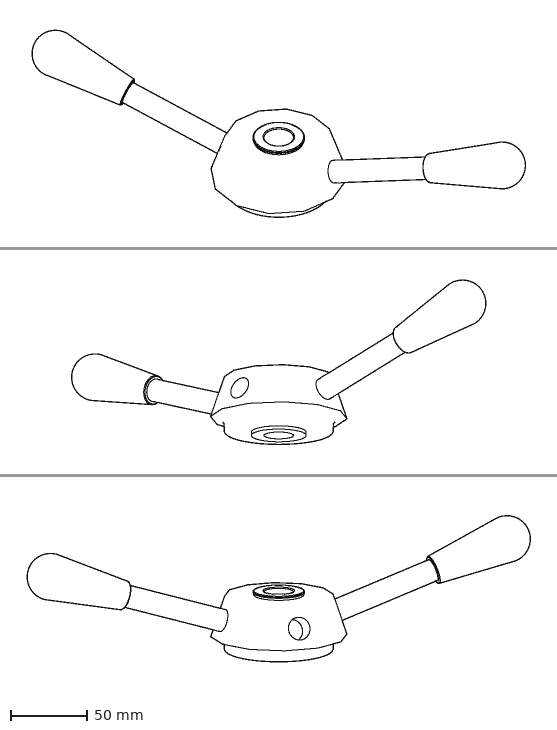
import cadquery as cq
import math

FOOT_TOP = 2.2
SKIRT_BOTTOM = 12.0
HUB_TOP = 39.5
COLLAR_BAND_BOTTOM = 41.0
COLLAR_TOP = 42.2

FOOT_DIAMETER = 36.0
BASE_DIAMETER = 72.0
BASE_EDGE_ROUND = 1.2
COVE_RADIUS = 5.0
COLLAR_DIAMETER = 34.0
COLLAR_CHAMFER = 0.6
COLLAR_NECK_DIAMETER = 33.0
BORE_DIAMETER = 19.29
BORE_CHAMFER = 0.7
SIDES = 12
HUB_EDGE_ROUND = 0.7
SKIRT_WIDTH = 87.02
FACE_TILT = 18.0

ROD_DIAMETER = 15.0
ARM_FACE_HEIGHT = 25.12
EMBED_DEPTH = 12.0
SOCKET_DEPTH = 15.0

OVERALL_LENGTH = 350.5
GRIP_LENGTH = 54.5
GRIP_NECK_DIAMETER = 19.5
GRIP_NECK_CHAMFER = 0.6
BALL_RADIUS = 15.5

TILT = math.radians(FACE_TILT)
FACE_RADIUS = SKIRT_WIDTH / 2 - (ARM_FACE_HEIGHT - SKIRT_BOTTOM) * math.tan(TILT)
BALL_REACH = (OVERALL_LENGTH / 2 - BALL_RADIUS - FACE_RADIUS) / math.cos(TILT)


def faceted_hub():
    """Tapered twelve-sided body with flat faces square to X and Y and rounded upper and side edges."""
    circumscribed_diameter = SKIRT_WIDTH / math.cos(math.pi / SIDES)
    return (
        cq.Workplane("XY", origin=(0, 0, SKIRT_BOTTOM))
        .transformed(rotate=(0, 0, 180 / SIDES))
        .polygon(SIDES, circumscribed_diameter)
        .extrude(HUB_TOP - SKIRT_BOTTOM, taper=FACE_TILT)
        .edges("not <Z")
        .fillet(HUB_EDGE_ROUND)
    )


def turned_base():
    """Round foot and base disc with a rounded lower edge and a cove up to the skirt."""
    foot_radius = FOOT_DIAMETER / 2
    base_radius = BASE_DIAMETER / 2
    cove_bottom = SKIRT_BOTTOM - COVE_RADIUS
    cove_mid = COVE_RADIUS * (1 - math.sqrt(0.5))
    edge_mid = BASE_EDGE_ROUND * (1 - math.sqrt(0.5))
    return (
        cq.Workplane("XZ")
        .moveTo(0, 0)
        .lineTo(foot_radius, 0)
        .lineTo(foot_radius, FOOT_TOP)
        .lineTo(base_radius - BASE_EDGE_ROUND, FOOT_TOP)
        .threePointArc(
            (base_radius - edge_mid, FOOT_TOP + edge_mid),
            (base_radius, FOOT_TOP + BASE_EDGE_ROUND),
        )
        .lineTo(base_radius, cove_bottom)
        .threePointArc(
            (base_radius + cove_mid, SKIRT_BOTTOM - cove_mid),
            (base_radius + COVE_RADIUS, SKIRT_BOTTOM),
        )
        .lineTo(0, SKIRT_BOTTOM)
        .close()
        .revolve(360, (0, 0, 0), (0, 1, 0))
    )


def collar():
    """Raised ring on top of the hub: a narrow neck under a wider band with a chamfered rim."""
    neck = (
        cq.Workplane("XY", origin=(0, 0, HUB_TOP))
        .circle(COLLAR_NECK_DIAMETER / 2)
        .extrude(COLLAR_BAND_BOTTOM - HUB_TOP)
    )
    band = (
        cq.Workplane("XY", origin=(0, 0, COLLAR_BAND_BOTTOM))
        .circle(COLLAR_DIAMETER / 2)
        .extrude(COLLAR_TOP - COLLAR_BAND_BOTTOM)
        .faces(">Z")
        .chamfer(COLLAR_CHAMFER)
    )
    return neck.union(band)


def place_on_face(shape, azimuth):
    """Move a shape built along +X from the origin onto the hub face at the given azimuth."""
    return (
        shape.rotate((0, 0, 0), (0, 1, 0), -FACE_TILT)
        .translate((FACE_RADIUS, 0, ARM_FACE_HEIGHT))
        .rotate((0, 0, 0), (0, 0, 1), azimuth)
    )


def arm():
    """Rod, tapered grip and domed end, turned about +X with the hub face at the origin."""
    rod_radius = ROD_DIAMETER / 2
    neck_radius = GRIP_NECK_DIAMETER / 2
    grip_start = BALL_REACH - GRIP_LENGTH
    dome_mid = BALL_RADIUS * math.sqrt(0.5)
    return (
        cq.Workplane("XY")
        .moveTo(-EMBED_DEPTH, 0)
        .lineTo(-EMBED_DEPTH, rod_radius)
        .lineTo(grip_start, rod_radius)
        .lineTo(grip_start, neck_radius - GRIP_NECK_CHAMFER)
        .lineTo(grip_start + GRIP_NECK_CHAMFER, neck_radius)
        .lineTo(BALL_REACH, BALL_RADIUS)
        .threePointArc((BALL_REACH + dome_mid, dome_mid), (BALL_REACH + BALL_RADIUS, 0))
        .close()
        .revolve(360, (0, 0, 0), (1, 0, 0))
    )


def spare_socket():
    """Blind hole for a further arm, square to the rear hub face."""
    return (
        cq.Workplane("YZ", origin=(-SOCKET_DEPTH, 0, 0))
        .circle(ROD_DIAMETER / 2)
        .extrude(2 * SOCKET_DEPTH)
    )


def through_bore():
    """Bore through the hub, with a chamfered mouth in the collar."""
    radius = BORE_DIAMETER / 2
    mouth_radius = radius + BORE_CHAMFER
    return (
        cq.Workplane("XZ")
        .polyline(
            [
                (0, 0),
                (radius, 0),
                (radius, COLLAR_TOP - BORE_CHAMFER),
                (mouth_radius, COLLAR_TOP),
                (0, COLLAR_TOP),
            ]
        )
        .close()
        .revolve(360, (0, 0, 0), (0, 1, 0))
    )


result = faceted_hub().union(turned_base()).union(collar())
for azimuth in (0, 180):
    result = result.union(place_on_face(arm(), azimuth))
result = result.cut(place_on_face(spare_socket(), 90)).cut(through_bore())